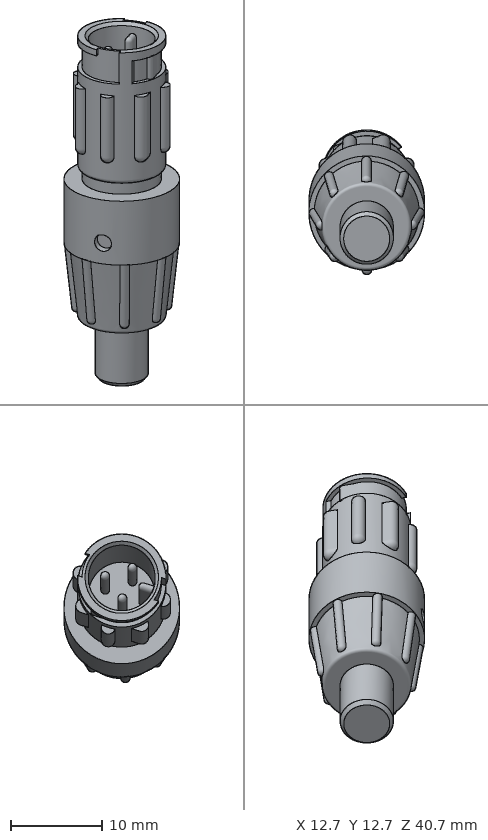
import cadquery as cq
import math

total_length = 40.65
cable_radius = 2.93
collar_radius = 6.35
neck_radius = 4.35
body_radius = 4.85

cable_chamfer_height = 0.5
cable_chamfer_width = 0.4
boot_bottom = 7.2
collar_bottom = 16.0
collar_top = 23.6
body_bottom = 24.95
groove_bottom = 36.9

boot_top_radius = 5.77
boot_bottom_radius = 4.85
boot_edge_round = 0.35
boot_rib_count = 8
boot_rib_radius = 0.53
boot_rib_end = 8.45
boot_rib_overlap = 0.1

rib_spacing_angle = 45
rib_radius = 0.77
rib_center_radius = 4.8
rib_top = 35.48
rib_end = 28.25

cut_clearance = 0.4
slot_half_width = 1.3
groove_end_x = 2.6
groove_top_at_slot = 39.9
groove_top_at_end = 39.6
stop_half_width = 2.28
stop_face_x = 4.3
stop_round = 0.4

socket_radius = 3.65
socket_floor = 30.5
socket_chamfer = 0.35
pin_circle_radius = 1.9
pin_angles = (20, 160, 270)
pin_radius = 0.5
pin_dome_height = 38.32
key_radius = 0.45
key_tip_y = 2.45
key_axis_height = 38.97
mark_x = -0.98
mark_y = 2.07
mark_radius = 0.15
mark_depth = 0.25

side_hole_radius = 0.98
side_hole_depth = 0.98
side_hole_height = 18.5


def cylinder(radius, bottom, top, x=0, y=0):
    """Upright cylinder between two heights."""
    return cq.Workplane("XY", origin=(x, y, bottom)).circle(radius).extrude(top - bottom)


def block(x_range, y_range, z_range):
    """Box given by its lower and upper limit along each axis."""
    sizes = [high - low for low, high in (x_range, y_range, z_range)]
    corner = (x_range[0], y_range[0], z_range[0])
    return cq.Workplane("XY").box(*sizes, centered=False).translate(corner)


def ball(radius, x, y, z):
    return cq.Workplane("XY", origin=(x, y, z)).sphere(radius)


def make_core():
    """Turned outline of the cable, boot, collar, neck and body."""
    body_round = body_radius - neck_radius
    cable = (
        cylinder(cable_radius, 0, boot_bottom)
        .faces("<Z")
        .chamfer(cable_chamfer_height, cable_chamfer_width)
    )
    boot = (
        cq.Workplane("XY", origin=(0, 0, boot_bottom))
        .circle(boot_bottom_radius)
        .workplane(offset=collar_bottom - boot_bottom)
        .circle(boot_top_radius)
        .loft()
        .faces("<Z")
        .edges()
        .fillet(boot_edge_round)
    )
    collar = cylinder(collar_radius, collar_bottom, collar_top)
    neck = cylinder(neck_radius, collar_top, body_bottom)
    body = (
        cq.Workplane("XZ")
        .moveTo(0, body_bottom)
        .lineTo(neck_radius, body_bottom)
        .radiusArc((body_radius, body_bottom + body_round), -body_round)
        .lineTo(body_radius, total_length)
        .lineTo(0, total_length)
        .close()
        .revolve(360, (0, 0, 0), (0, 1, 0))
    )
    return cable.union(boot).union(collar).union(neck).union(body)


def make_boot_rib(angle):
    """Round rib lying along the boot's taper, with a domed lower end."""
    taper = (boot_top_radius - boot_bottom_radius) / (collar_bottom - boot_bottom)
    end_radius = boot_bottom_radius + taper * (boot_rib_end - boot_bottom)
    rise = collar_bottom + boot_rib_overlap - boot_rib_end
    axis_plane = cq.Plane(
        origin=(end_radius, 0, boot_rib_end), xDir=(0, 1, 0), normal=(taper, 0, 1)
    )
    rod = cq.Workplane(axis_plane).circle(boot_rib_radius).extrude(rise * math.hypot(1, taper))
    rib = rod.union(ball(boot_rib_radius, end_radius, 0, boot_rib_end))
    return rib.rotate((0, 0, 0), (0, 0, 1), angle)


def make_grip_rib(angle):
    """Upright round rib with a domed lower end."""
    x = rib_center_radius * math.cos(math.radians(angle))
    y = rib_center_radius * math.sin(math.radians(angle))
    return cylinder(rib_radius, rib_end, rib_top, x, y).union(ball(rib_radius, x, y, rib_end))


def make_diagonal_rib_fill(x_sign, y_sign):
    """Flat flank that carries a diagonal rib straight back along Y into the body."""
    offset = rib_center_radius * math.sin(math.radians(rib_spacing_angle))
    flank = block((offset - rib_radius, offset + rib_radius), (0, offset), (rib_end, rib_top))
    rounded_end = (
        cq.Workplane("XZ", origin=(offset, 0, rib_end)).circle(rib_radius).extrude(-offset)
    )
    fill = flank.union(rounded_end)
    if x_sign < 0:
        fill = fill.mirror("YZ")
    if y_sign < 0:
        fill = fill.mirror("XZ")
    return fill


def make_bayonet_cut():
    """Entry slot on the -Y side and the groove that runs from it around the -X side."""
    reach = body_radius + cut_clearance
    entry = block((-slot_half_width, slot_half_width), (-reach, 0), (groove_bottom, total_length))

    groove = (
        cq.Workplane("YZ", origin=(-reach, 0, 0))
        .moveTo(-body_radius, groove_bottom)
        .lineTo(body_radius, groove_bottom)
        .lineTo(body_radius, groove_top_at_end)
        .lineTo(-body_radius, groove_top_at_slot)
        .close()
        .extrude(reach + slot_half_width)
    )
    past_end = block((-groove_end_x, reach), (0, reach), (groove_bottom, total_length))

    floor = cylinder(neck_radius, groove_bottom, total_length)
    stop = (
        block((-stop_face_x, 0), (0, stop_half_width), (groove_bottom, total_length))
        .edges("|Z and <X and >Y")
        .fillet(stop_round)
    )
    return groove.cut(past_end).union(entry).cut(floor).cut(stop)


def make_socket():
    return (
        cylinder(socket_radius, socket_floor, total_length)
        .faces(">Z")
        .workplane(offset=-socket_chamfer)
        .circle(socket_radius)
        .workplane(offset=socket_chamfer)
        .circle(socket_radius + socket_chamfer)
        .loft()
    )


def make_pin(angle):
    x = pin_circle_radius * math.cos(math.radians(angle))
    y = pin_circle_radius * math.sin(math.radians(angle))
    pin = cylinder(pin_radius, socket_floor, pin_dome_height, x, y)
    return pin.union(ball(pin_radius, x, y, pin_dome_height))


def make_key():
    """Rounded key standing on the socket floor and joined to its +Y wall."""
    wall_y = (socket_radius + neck_radius) / 2
    web = block((-key_radius, key_radius), (key_tip_y, wall_y), (socket_floor, key_axis_height))
    ridge = (
        cq.Workplane("XZ", origin=(0, key_tip_y, key_axis_height))
        .circle(key_radius)
        .extrude(key_tip_y - wall_y)
    )
    front = cylinder(key_radius, socket_floor, key_axis_height, 0, key_tip_y)
    tip = ball(key_radius, 0, key_tip_y, key_axis_height)
    return web.union(ridge).union(front).union(tip).intersect(
        cylinder(wall_y, socket_floor, total_length)
    )


result = make_core()

for index in range(boot_rib_count):
    result = result.union(make_boot_rib((index + 0.5) * 360 / boot_rib_count))

for angle in range(0, 360, rib_spacing_angle):
    result = result.union(make_grip_rib(angle))
for x_sign in (-1, 1):
    for y_sign in (-1, 1):
        result = result.union(make_diagonal_rib_fill(x_sign, y_sign))

for turn in (0, 180):
    result = result.cut(make_bayonet_cut().rotate((0, 0, 0), (0, 0, 1), turn))

result = result.cut(make_socket())
for angle in pin_angles:
    result = result.union(make_pin(angle))
result = result.union(make_key())
result = result.cut(cylinder(mark_radius, socket_floor - mark_depth, socket_floor, mark_x, mark_y))

side_hole = (
    cq.Workplane("XZ", origin=(0, -collar_radius, side_hole_height))
    .circle(side_hole_radius)
    .extrude(-side_hole_depth)
)
result = result.cut(side_hole)